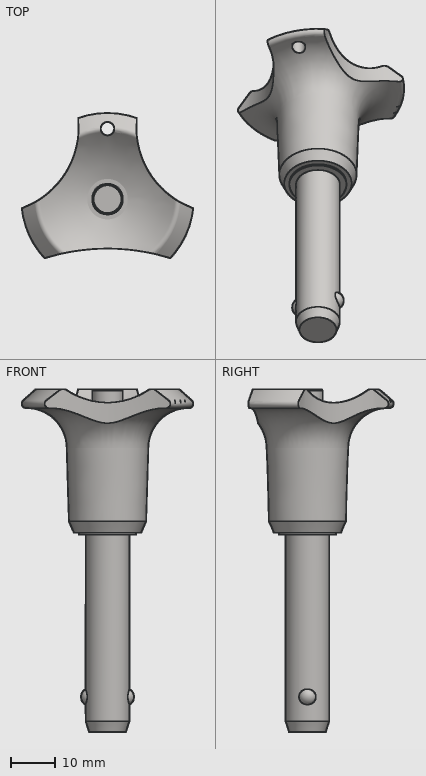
import cadquery as cq
import math


TOTAL_LENGTH = 77.9
SHAFT_RADIUS = 5.0
TIP_RADIUS = 4.2
TIP_CHAMFER_HEIGHT = 2.5
BALL_RADIUS = 2.0
BALL_OFFSET = 4.05
BALL_HEIGHT_ABOVE_TIP = 8.0

GRIP_TOP_RADIUS = 9.3
GRIP_BOTTOM_RADIUS = 8.8
GRIP_LENGTH = 16.65
GRIP_CHAMFER_RADIUS = 7.65
GRIP_CHAMFER_HEIGHT = 2.65
COLLAR_RADIUS = 6.5
COLLAR_HEIGHT = 0.45

HEAD_RADIUS = 19.6
EDGE_ROUND = 1.0
LIP_RADIUS = 15.9
FLARE_RADIUS = 9.0
RIM_CENTRE_DEPTH = 3.35
DISH_RADIUS = 23.0

SCALLOP_DEPTH_RADIUS = 11.25
FRONT_SCALLOP_RADIUS = 48.0
SIDE_SCALLOP_RADIUS = 19.5
FRONT_SCALLOP_ANGLE = -90.0
SIDE_SCALLOP_ANGLE = 32.0

LANYARD_HOLE_DIAMETER = 3.0
LANYARD_HOLE_OFFSET = 16.0
BUTTON_RADIUS = 3.5
BUTTON_CHAMFER = 0.35
BUTTON_SEAT_RADIUS = 4.6

TIP_Z = -TOTAL_LENGTH
LIP_CENTRE = (LIP_RADIUS, -EDGE_ROUND)
RIM_CENTRE = (HEAD_RADIUS - EDGE_ROUND, -RIM_CENTRE_DEPTH)
HEAD_BOTTOM_Z = -RIM_CENTRE_DEPTH - EDGE_ROUND
GRIP_TOP_Z = HEAD_BOTTOM_Z - FLARE_RADIUS
GRIP_BOTTOM_Z = GRIP_TOP_Z - GRIP_LENGTH
COLLAR_TOP_Z = GRIP_BOTTOM_Z - GRIP_CHAMFER_HEIGHT
COLLAR_BOTTOM_Z = COLLAR_TOP_Z - COLLAR_HEIGHT
DISH_CENTRE_Z = LIP_CENTRE[1] + math.sqrt((DISH_RADIUS + EDGE_ROUND) ** 2 - LIP_RADIUS**2)
SEAT_Z = DISH_CENTRE_Z - math.sqrt(DISH_RADIUS**2 - BUTTON_SEAT_RADIUS**2)


def point_on_circle(centre, radius, angle):
    """Point at an angle, in radians, on a circle."""
    return (centre[0] + radius * math.cos(angle), centre[1] + radius * math.sin(angle))


def make_handle():
    """Grip and dished head, turned about the pin axis."""
    rise = LIP_CENTRE[1] - RIM_CENTRE[1]
    run = RIM_CENTRE[0] - LIP_CENTRE[0]
    slope_normal = math.atan2(run, rise)
    dish_normal = math.atan2(DISH_CENTRE_Z - LIP_CENTRE[1], -LIP_RADIUS)
    seat_angle = math.atan2(SEAT_Z - DISH_CENTRE_Z, BUTTON_SEAT_RADIUS)
    lip_dish_angle = dish_normal - math.pi
    dish_middle_angle = (seat_angle + lip_dish_angle) / 2
    dish_centre = (0, DISH_CENTRE_Z)
    flare_centre = (GRIP_TOP_RADIUS + FLARE_RADIUS, GRIP_TOP_Z)

    profile = (
        cq.Workplane("XZ")
        .moveTo(0, COLLAR_BOTTOM_Z)
        .lineTo(COLLAR_RADIUS, COLLAR_BOTTOM_Z)
        .lineTo(COLLAR_RADIUS, COLLAR_TOP_Z)
        .lineTo(GRIP_CHAMFER_RADIUS, COLLAR_TOP_Z)
        .lineTo(GRIP_BOTTOM_RADIUS, GRIP_BOTTOM_Z)
        .lineTo(GRIP_TOP_RADIUS, GRIP_TOP_Z)
        .threePointArc(
            point_on_circle(flare_centre, FLARE_RADIUS, math.radians(135)),
            (flare_centre[0], HEAD_BOTTOM_Z),
        )
        .lineTo(RIM_CENTRE[0], HEAD_BOTTOM_Z)
        .threePointArc(
            point_on_circle(RIM_CENTRE, EDGE_ROUND, math.radians(-45)),
            (HEAD_RADIUS, RIM_CENTRE[1]),
        )
        .threePointArc(
            point_on_circle(RIM_CENTRE, EDGE_ROUND, slope_normal / 2),
            point_on_circle(RIM_CENTRE, EDGE_ROUND, slope_normal),
        )
        .lineTo(*point_on_circle(LIP_CENTRE, EDGE_ROUND, slope_normal))
        .threePointArc(
            (LIP_RADIUS, 0),
            point_on_circle(LIP_CENTRE, EDGE_ROUND, dish_normal),
        )
        .threePointArc(
            point_on_circle(dish_centre, DISH_RADIUS, dish_middle_angle),
            (BUTTON_SEAT_RADIUS, SEAT_Z),
        )
        .lineTo(0, SEAT_Z)
        .close()
    )
    return profile.revolve(360, (0, 0, 0), (0, 1, 0))


def cut_scallop(handle, radius, angle):
    """Hollow one side of the head with an upright cylinder."""
    distance = SCALLOP_DEPTH_RADIUS + radius
    centre = point_on_circle((0, 0), distance, math.radians(angle))
    cutter = cq.Workplane("XY").center(*centre).circle(radius).extrude(COLLAR_BOTTOM_Z)
    return handle.cut(cutter)


def cut_lanyard_hole(handle):
    """Hole down through the rear arm."""
    cutter = (
        cq.Workplane("XY")
        .center(0, LANYARD_HOLE_OFFSET)
        .circle(LANYARD_HOLE_DIAMETER / 2)
        .extrude(GRIP_TOP_Z)
    )
    return handle.cut(cutter)


def make_button():
    """Chamfered release button standing in the dish."""
    return (
        cq.Workplane("XY")
        .workplane(offset=SEAT_Z)
        .circle(BUTTON_RADIUS)
        .extrude(-SEAT_Z)
        .faces(">Z")
        .chamfer(BUTTON_CHAMFER)
    )


def make_shaft():
    """Pin shaft with a tapered tip and two locking balls."""
    shaft = (
        cq.Workplane("XZ")
        .moveTo(0, TIP_Z)
        .lineTo(TIP_RADIUS, TIP_Z)
        .lineTo(SHAFT_RADIUS, TIP_Z + TIP_CHAMFER_HEIGHT)
        .lineTo(SHAFT_RADIUS, COLLAR_BOTTOM_Z)
        .lineTo(0, COLLAR_BOTTOM_Z)
        .close()
        .revolve(360, (0, 0, 0), (0, 1, 0))
    )
    ball = cq.Workplane("XY").sphere(BALL_RADIUS)
    for side in (-1, 1):
        shaft = shaft.union(ball.translate((side * BALL_OFFSET, 0, TIP_Z + BALL_HEIGHT_ABOVE_TIP)))
    return shaft


handle = make_handle()
handle = cut_scallop(handle, FRONT_SCALLOP_RADIUS, FRONT_SCALLOP_ANGLE)
for side_angle in (SIDE_SCALLOP_ANGLE, 180 - SIDE_SCALLOP_ANGLE):
    handle = cut_scallop(handle, SIDE_SCALLOP_RADIUS, side_angle)
handle = cut_lanyard_hole(handle)

result = handle.union(make_button()).union(make_shaft())